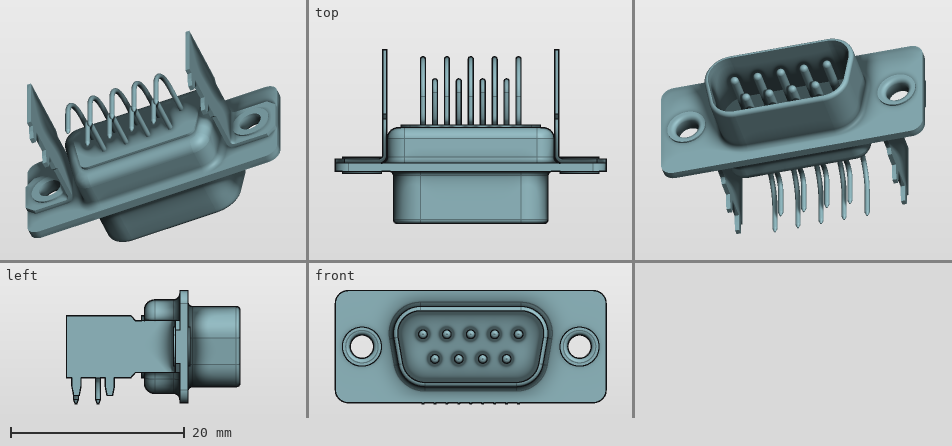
import cadquery as cq
import math


overall_height = 13.04

plate_length = 31.19
plate_height = 12.93
plate_thickness = 0.95
plate_corner_radius = 1.5

side_slope = math.radians(10)
shell_half_width = 8.9
shell_half_height = 4.62
shell_corner_radius = 3.1
shell_length = 6.0
shell_wall = 0.5
shell_root_fillet = 0.5
shell_lip_fillet = 0.46

housing_half_width = 9.6
housing_half_height = 5.4
housing_corner_radius = 2.0
housing_rear_y = 5.03
housing_rear_fillet = 1.23
housing_root_fillet = 0.7

insert_half_width = 8.05
insert_half_height = 3.58
insert_corner_radius = 1.05
insert_rear_y = 5.36
insert_front_y = plate_thickness

contact_pitch = 2.75
row_height = 1.42
upper_row_count = 5
lower_row_count = 4
contact_diameter = 1.0
contact_tip_y = -5.4
contact_tip_fillet = 0.45
tail_diameter = 0.6
tail_row_spacing = 2.54
upper_tail_y = 12.9
lower_tail_y = upper_tail_y - tail_row_spacing
upper_bend_radius = 4.3
lower_bend_radius = 1.3
tail_tip_z = plate_height / 2 - overall_height
tail_tip_length = 0.5
tail_tip_chamfer = 0.2

bracket_thickness = 0.5
bracket_inner_x = 9.64
bracket_neck_height = 6.0
bracket_wide_height = 7.16
bracket_rear_y = 14.0
bracket_taper_rear_y = 6.58
bracket_taper_front_y = 6.05
bracket_bend_radius = 0.42
foot_chamfer = 1.08
leg_centers_y = (12.84, 9.0)
leg_width = 1.08
leg_tip_width = 0.66
leg_taper_z = -4.55
leg_tip_z = -5.64

eyelet_spacing = 25.04
eyelet_outer_diameter = 4.5
eyelet_hole_diameter = 2.66
eyelet_lip_radius = 0.54
eyelet_front_height = 0.25
eyelet_rear_height = 0.2


def d_prism(half_width, half_height, corner_radius, front_y, rear_y):
    """Solid with the rounded D outline, running along Y from front_y to rear_y.

    The outline is a trapezoid through the corner centres, offset outward by the corner radius.
    """
    top_x = half_width - corner_radius
    corner_z = half_height - corner_radius
    bottom_x = top_x - 2 * corner_z * math.tan(side_slope)
    corner_centers = [(-top_x, corner_z), (top_x, corner_z), (bottom_x, -corner_z), (-bottom_x, -corner_z)]
    return (
        cq.Workplane("XZ", origin=(0, rear_y, 0))
        .polyline(corner_centers)
        .close()
        .offset2D(corner_radius)
        .extrude(rear_y - front_y)
    )


def fillet_root(body, plate_face_y, half_width, half_height, radius):
    """Blend a D-shaped wall into the plate face it stands on."""
    margin = 0.01
    root_zone = cq.selectors.BoxSelector(
        (-half_width - margin, plate_face_y - margin, -half_height - margin),
        (half_width + margin, plate_face_y + margin, half_height + margin),
    )
    return body.edges(root_zone).fillet(radius)


def make_flange():
    """Rounded plate with the hollow mating shell in front and the filled housing behind."""
    plate = (
        cq.Workplane("XZ")
        .rect(plate_length, plate_height)
        .extrude(-plate_thickness)
        .edges("|Y")
        .fillet(plate_corner_radius)
    )
    shell = d_prism(shell_half_width, shell_half_height, shell_corner_radius, -shell_length, 0)
    shell = shell.faces("<Y").edges().fillet(shell_lip_fillet)
    housing = d_prism(
        housing_half_width, housing_half_height, housing_corner_radius, plate_thickness, housing_rear_y
    )
    housing = housing.faces(">Y").edges().fillet(housing_rear_fillet)
    insert = d_prism(
        insert_half_width, insert_half_height, insert_corner_radius, plate_thickness, insert_rear_y
    )
    cavity = d_prism(
        shell_half_width - shell_wall,
        shell_half_height - shell_wall,
        shell_corner_radius - shell_wall,
        -shell_length,
        insert_front_y,
    )

    body = plate.union(shell).union(housing)
    body = fillet_root(body, 0, shell_half_width, shell_half_height, shell_root_fillet)
    body = fillet_root(body, plate_thickness, housing_half_width, housing_half_height, housing_root_fillet)
    return body.union(insert).cut(cavity)


def make_contact(x, z, tail_y, bend_radius):
    """Round-nosed mating pin whose thinner tail runs back and bends down through 90 degrees."""
    pin = (
        cq.Workplane("XZ", origin=(x, insert_rear_y / 2, z))
        .circle(contact_diameter / 2)
        .extrude(insert_rear_y / 2 - contact_tip_y)
        .faces("<Y")
        .edges()
        .fillet(contact_tip_fillet)
    )
    bend_start_y = tail_y - bend_radius
    bend_end_z = z - bend_radius
    half_chord = bend_radius * math.sqrt(0.5)
    path = (
        cq.Workplane("YZ", origin=(x, 0, 0))
        .moveTo(insert_rear_y / 2, z)
        .lineTo(bend_start_y, z)
        .threePointArc((bend_start_y + half_chord, bend_end_z + half_chord), (tail_y, bend_end_z))
        .lineTo(tail_y, tail_tip_z)
    )
    tail = (
        cq.Workplane("XZ", origin=(x, insert_rear_y / 2, z))
        .circle(tail_diameter / 2)
        .sweep(path)
        .faces("<Z")
        .edges()
        .chamfer(tail_tip_length, tail_tip_chamfer)
    )
    return pin.union(tail)


def add_contact_row(body, count, z, tail_y, bend_radius):
    """Add a row of contacts centred on X = 0."""
    for index in range(count):
        x = (index - (count - 1) / 2) * contact_pitch
        body = body.union(make_contact(x, z, tail_y, bend_radius))
    return body


def make_bracket():
    """Sheet-metal bracket on the +X side: foot on the flange, bend, and wall with two legs."""
    outer_x = bracket_inner_x + bracket_thickness
    foot_rear_y = plate_thickness + bracket_thickness
    foot_end_x = plate_length / 2
    outer_bend = bracket_bend_radius + bracket_thickness
    strip = (
        cq.Workplane("XY", origin=(0, 0, -bracket_neck_height / 2))
        .moveTo(foot_end_x, plate_thickness)
        .lineTo(bracket_inner_x + outer_bend, plate_thickness)
        .radiusArc((bracket_inner_x, plate_thickness + outer_bend), outer_bend)
        .lineTo(bracket_inner_x, bracket_taper_front_y)
        .lineTo(outer_x, bracket_taper_front_y)
        .lineTo(outer_x, foot_rear_y + bracket_bend_radius)
        .radiusArc((outer_x + bracket_bend_radius, foot_rear_y), -bracket_bend_radius)
        .lineTo(foot_end_x, foot_rear_y)
        .close()
        .extrude(bracket_neck_height)
        .faces(">X")
        .edges("|Y")
        .chamfer(foot_chamfer)
    )
    neck_z = bracket_neck_height / 2
    wide_z = bracket_wide_height / 2
    wall_outline = [
        (bracket_taper_front_y, neck_z),
        (bracket_taper_rear_y, wide_z),
        (bracket_rear_y, wide_z),
        (bracket_rear_y, -wide_z),
        (bracket_taper_rear_y, -wide_z),
        (bracket_taper_front_y, -neck_z),
    ]
    wall_plane = cq.Workplane("YZ", origin=(bracket_inner_x, 0, 0))
    bracket = strip.union(wall_plane.polyline(wall_outline).close().extrude(bracket_thickness))
    for center_y in leg_centers_y:
        leg_outline = [
            (center_y - leg_width / 2, 0),
            (center_y - leg_width / 2, leg_taper_z),
            (center_y - leg_tip_width / 2, leg_tip_z),
            (center_y + leg_tip_width / 2, leg_tip_z),
            (center_y + leg_width / 2, leg_taper_z),
            (center_y + leg_width / 2, 0),
        ]
        bracket = bracket.union(wall_plane.polyline(leg_outline).close().extrude(bracket_thickness))
    return bracket


def add_eyelet(body, x):
    """Rivet eyelet clamping the bracket foot to the plate, with a hole rounded at its front mouth."""
    front_y = -eyelet_front_height
    rear_y = plate_thickness + bracket_thickness + eyelet_rear_height
    barrel = cq.Workplane("XZ", origin=(x, rear_y, 0)).circle(eyelet_outer_diameter / 2)
    barrel = barrel.extrude(rear_y - front_y)
    ring = barrel.faces("<Y").workplane().hole(eyelet_hole_diameter)
    ring = ring.faces("<Y").edges(cq.selectors.RadiusNthSelector(0)).fillet(eyelet_lip_radius)
    return body.cut(barrel).union(ring)


bracket = make_bracket()
result = make_flange().union(bracket).union(bracket.mirror("YZ"))
for eyelet_x in (-eyelet_spacing / 2, eyelet_spacing / 2):
    result = add_eyelet(result, eyelet_x)
result = add_contact_row(result, upper_row_count, row_height, upper_tail_y, upper_bend_radius)
result = add_contact_row(result, lower_row_count, -row_height, lower_tail_y, lower_bend_radius)